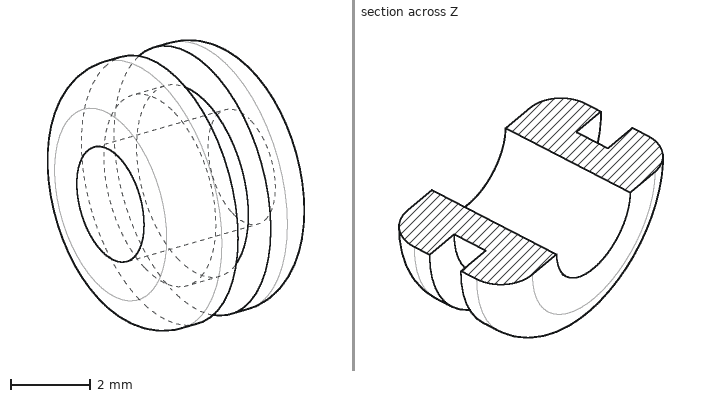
import cadquery as cq

outer_diameter = 7.0
groove_diameter = 5.0
bore_diameter = 3.0
length = 4.0
groove_width = 1.0
edge_radius = 1.0


def disc(diameter, thickness):
    """Solid disc around the Y axis, centred on the origin."""
    end_plane = cq.Workplane("XZ", origin=(0, thickness / 2, 0))
    return end_plane.circle(diameter / 2).extrude(thickness)


def rounded_body():
    """Full-size cylinder with both end rims rounded."""
    return disc(outer_diameter, length).faces("<Y or >Y").edges().fillet(edge_radius)


def panel_groove():
    """Ring removed around the middle to seat the panel edge."""
    return disc(outer_diameter, groove_width).cut(disc(groove_diameter, groove_width))


def bore():
    """Cable hole through the full length."""
    return disc(bore_diameter, length)


result = rounded_body().cut(panel_groove()).cut(bore())